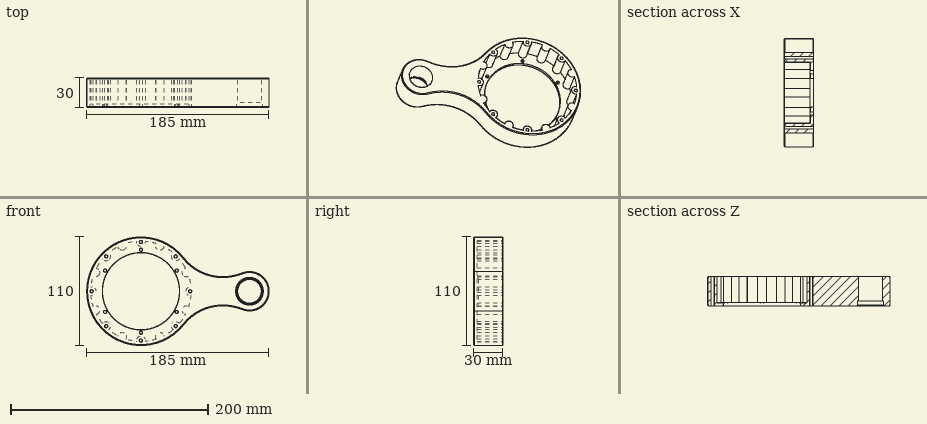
import cadquery as cq
import math

overall_length = 185.0
thickness = 30.0
ring_diameter = 110.0
ring_radius = ring_diameter / 2
eye_radius = 20.0
eye_x = overall_length - ring_radius - eye_radius
edge_chamfer = 1.0

neck_half_width = 14.8
neck_ring_arc_radius = 50.3

lip_radius = 39.0
lip_thickness = 3.5
cavity_radius = 50.9
rib_count = 16
rib_radius = 4.5
rib_circle_radius = 50.0

screw_hole_diameter = 3.0
outer_hole_count = 8
outer_hole_circle_radius = 50.0
inner_hole_count = 6
inner_hole_circle_radius = 42.0
inner_hole_start_angle = 90.0

bore_radius = 12.0
seat_radius = 13.1
seat_depth = 5.0
seat_chamfer = 1.0


def front_plane(depth=0.0):
    """Sketch plane parallel to the front face, facing into the part."""
    return cq.Workplane("XZ", origin=(0, depth, 0))


def cylinder(x, z, radius, start, end):
    """Cylinder along Y between two depths."""
    return front_plane(start).center(x, z).circle(radius).extrude(start - end)


def circle_points(count, radius, start_angle=0.0):
    """Evenly spaced points (x, z) around the ring axis."""
    angles = [math.radians(start_angle + 360.0 * i / count) for i in range(count)]
    return [(radius * math.cos(a), radius * math.sin(a)) for a in angles]


def point_toward(start, target, distance):
    """Point at a distance from start on the line to target."""
    span = math.dist(start, target)
    return tuple(s + (t - s) * distance / span for s, t in zip(start, target))


def midpoint(start, end):
    return ((start[0] + end[0]) / 2, (start[1] + end[1]) / 2)


def mirrored(point):
    """Reflect a point across the centre line z = 0."""
    return (point[0], -point[1])


def make_body():
    """Ring, neck and eye as one plate with both face edges chamfered."""
    ring_arc_z = neck_half_width + neck_ring_arc_radius
    neck_x = math.sqrt((ring_radius + neck_ring_arc_radius) ** 2 - ring_arc_z ** 2)
    ring_arc_center = (neck_x, ring_arc_z)
    eye_gap = eye_x - neck_x
    eye_arc_rise = eye_radius - neck_half_width
    eye_arc_radius = (eye_gap ** 2 + neck_half_width ** 2 - eye_radius ** 2) / (2 * eye_arc_rise)
    eye_arc_center = (neck_x, neck_half_width + eye_arc_radius)

    ring_tangent = point_toward((0, 0), ring_arc_center, ring_radius)
    eye_tangent = point_toward((eye_x, 0), eye_arc_center, eye_radius)
    neck = (neck_x, neck_half_width)
    ring_arc_mid = point_toward(ring_arc_center, midpoint(ring_tangent, neck), neck_ring_arc_radius)
    eye_arc_mid = point_toward(eye_arc_center, midpoint(eye_tangent, neck), eye_arc_radius)

    outline = (
        front_plane()
        .moveTo(*ring_tangent)
        .threePointArc(ring_arc_mid, neck)
        .threePointArc(eye_arc_mid, eye_tangent)
        .threePointArc((eye_x + eye_radius, 0), mirrored(eye_tangent))
        .threePointArc(mirrored(eye_arc_mid), mirrored(neck))
        .threePointArc(mirrored(ring_arc_mid), mirrored(ring_tangent))
        .threePointArc((-ring_radius, 0), ring_tangent)
        .close()
    )
    return outline.extrude(-thickness).faces("<Y or >Y").chamfer(edge_chamfer)


def make_cavity():
    """Opening through the ring, leaving the front lip and the ribs standing."""
    cavity = cylinder(0, 0, cavity_radius, lip_thickness, thickness)
    for x, z in circle_points(rib_count, rib_circle_radius):
        cavity = cavity.cut(cylinder(x, z, rib_radius, lip_thickness, thickness))
    return cavity.union(cylinder(0, 0, lip_radius, 0, thickness))


def make_screw_holes():
    outer = circle_points(outer_hole_count, outer_hole_circle_radius)
    inner = circle_points(inner_hole_count, inner_hole_circle_radius, inner_hole_start_angle)
    return front_plane().pushPoints(outer + inner).circle(screw_hole_diameter / 2).extrude(-thickness)


def make_eye_bore():
    bore = cylinder(eye_x, 0, bore_radius, 0, thickness)
    seat = cylinder(eye_x, 0, seat_radius, 0, seat_depth)
    mouth = (
        front_plane().center(eye_x, 0).circle(seat_radius + seat_chamfer)
        .workplane(offset=-seat_chamfer).circle(seat_radius).loft()
    )
    return bore.union(seat).union(mouth)


result = make_body().cut(make_cavity()).cut(make_screw_holes()).cut(make_eye_bore())